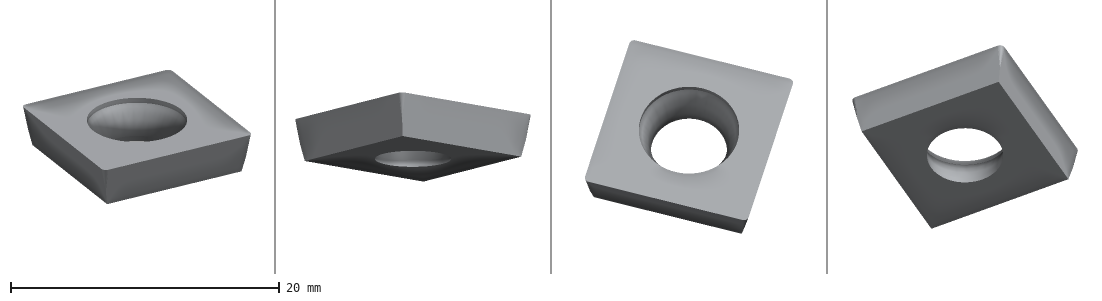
import cadquery as cq
import math

side = 12.7
thickness = 3.18
relief_angle = 11.0
nose_radius = 0.38

mouth_diameter = 7.49
bore_diameter = 5.69
mouth_depth = 0.41
bore_length = 0.46

relief_slope = math.tan(math.radians(relief_angle))


def make_blank():
    """Square block whose section shrinks from the top face down."""
    return (
        cq.Workplane("XY")
        .workplane(offset=thickness)
        .rect(side, side)
        .extrude(-thickness, taper=relief_angle)
    )


def make_nose_cutter():
    """Waste at the +X +Y corner, outside a cone that narrows to a point."""
    center = side / 2 - nose_radius
    cone_depth = nose_radius / relief_slope
    block = (
        cq.Workplane("XY")
        .box(nose_radius, nose_radius, cone_depth, centered=False)
        .translate((center, center, thickness - cone_depth))
    )
    cone = cq.Solid.makeCone(
        nose_radius, 0, cone_depth, cq.Vector(center, center, thickness), cq.Vector(0, 0, -1)
    )
    return block.cut(cq.Workplane(obj=cone))


def make_screw_hole():
    """Revolved hole; the flared seat runs tangent into the bore."""
    mouth_radius = mouth_diameter / 2
    bore_radius = bore_diameter / 2
    seat_top = thickness - mouth_depth
    seat_height = seat_top - bore_length
    seat_width = mouth_radius - bore_radius
    return (
        cq.Workplane("XZ")
        .lineTo(bore_radius, 0)
        .lineTo(bore_radius, bore_length)
        .tangentArcPoint((seat_width, seat_height))
        .lineTo(mouth_radius, thickness)
        .lineTo(0, thickness)
        .close()
        .revolve(360, (0, 0, 0), (0, 1, 0))
    )


result = make_blank()
nose_cutter = make_nose_cutter()
for corner_angle in (0, 90, 180, 270):
    result = result.cut(nose_cutter.rotate((0, 0, 0), (0, 0, 1), corner_angle))
result = result.cut(make_screw_hole())